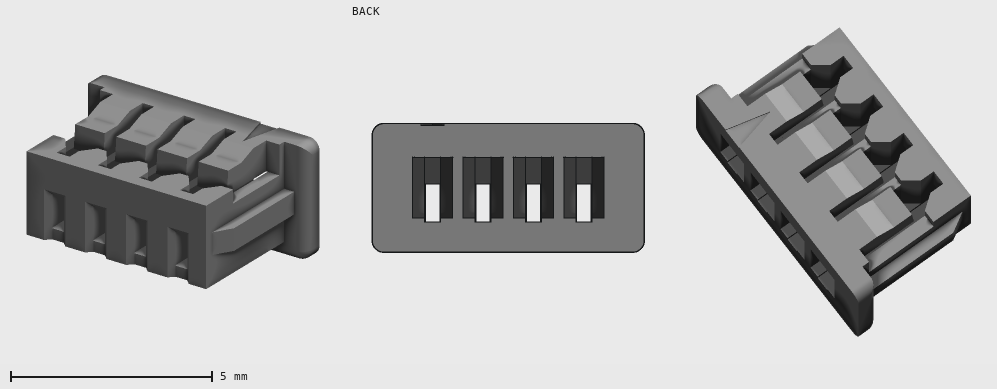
import cadquery as cq

TOTAL_WIDTH = 6.75
TOTAL_DEPTH = 3.95
TOTAL_HEIGHT = 3.2

CONTACT_COUNT = 4
PITCH = 1.25
ROW_MIDDLE = (CONTACT_COUNT - 1) / 2
CONTACT_X = [(i - ROW_MIDDLE) * PITCH for i in range(CONTACT_COUNT)]

FLANGE_THICKNESS = 0.6
FLANGE_FRONT_Y = TOTAL_DEPTH - FLANGE_THICKNESS
FLANGE_RADIUS = 0.3

BODY_WIDTH = 5.455
BODY_BOTTOM_Z = 0.45
FRONT_BLOCK_TOP_Z = 2.74
FRONT_BLOCK_DEPTH = 1.155
SHELF_Z = 2.355
BRIDGE_FRONT_Y = 3.145

ARM_WIDTH = 0.9
ARM_SLOPE_TOP_Y = 2.6
ARM_SLOPE_BOTTOM_Y = 2.08
ARM_TIP_Z = 3.005
ARM_TIP_TOP_Y = 1.52
ARM_TIP_BOTTOM_Y = 1.46

CAVITY_WIDTH = 0.99
SLOT_FLOOR_Z = 0.755
GROOVE_DEPTH = 0.1
CAVITY_FLOOR_Z = SLOT_FLOOR_Z + GROOVE_DEPTH
CAVITY_TAPER_Y = 0.76
SLOT_WIDTH = 0.4
SLOT_FRONT_Y = 0.365

WINDOW_WIDTH = 0.35
WINDOW_TOP_Z = 1.695
WINDOW_CHAMFER = 0.15

RAIL_REACH = 3.03
RAIL_BOTTOM_Z = 1.29
RAIL_TOP_Z = 1.91
RAIL_FRONT_Y = 0.255
RAIL_FULL_Y = 0.77

RAMP_FRONT_Y = 0.365
RAMP_PEAK_Y = 1.1
RAMP_REAR_Y = 1.445
RAMP_PEAK_Z = 0.195

MARK_WIDTH = 0.57
MARK_TIP_Y = 2.77
MARK_DEPTH = 0.05


def block(x_center, width, y_start, y_end, z_start, z_end):
    """Box centred on x_center, given by its Y and Z limits."""
    return (
        cq.Workplane("XY")
        .box(width, y_end - y_start, z_end - z_start, centered=(True, False, False))
        .translate((x_center, y_start, z_start))
    )


def side_profile(points, x_center, width):
    """Outline of (y, z) points extruded along X about x_center."""
    return (
        cq.Workplane("YZ", origin=(x_center, 0, 0))
        .polyline(points)
        .close()
        .extrude(width / 2, both=True)
    )


def plan_profile(points, z_start, z_end):
    """Outline of (x, y) points extruded upward."""
    return (
        cq.Workplane("XY", origin=(0, 0, z_start))
        .polyline(points)
        .close()
        .extrude(z_end - z_start)
    )


def make_flange():
    """Plate rounded at its corners and front edges; its top front edge stays sharp."""
    size = (0, TOTAL_WIDTH, FLANGE_FRONT_Y, TOTAL_DEPTH, 0, TOTAL_HEIGHT)
    rounded_front = (
        block(*size)
        .edges("|Y and <Z")
        .fillet(FLANGE_RADIUS)
        .faces("<Y")
        .edges("not >Z")
        .fillet(FLANGE_RADIUS)
    )
    rounded_top = block(*size).edges("|Y and >Z").fillet(FLANGE_RADIUS)
    return rounded_front.intersect(rounded_top)


def make_body():
    """Stepped body: front block, low shelf and the bridge that carries the arms."""
    outline = [
        (0, BODY_BOTTOM_Z),
        (TOTAL_DEPTH, BODY_BOTTOM_Z),
        (TOTAL_DEPTH, TOTAL_HEIGHT),
        (BRIDGE_FRONT_Y, TOTAL_HEIGHT),
        (BRIDGE_FRONT_Y, SHELF_Z),
        (FRONT_BLOCK_DEPTH, SHELF_Z),
        (FRONT_BLOCK_DEPTH, FRONT_BLOCK_TOP_Z),
        (0, FRONT_BLOCK_TOP_Z),
    ]
    return side_profile(outline, 0, BODY_WIDTH)


def make_rail(side):
    """Guide rail with a slanted lead-in; side is -1 or 1."""
    inner_x = side * BODY_WIDTH / 2
    outer_x = side * RAIL_REACH
    outline = [
        (0, RAIL_FRONT_Y),
        (inner_x, RAIL_FRONT_Y),
        (outer_x, RAIL_FULL_Y),
        (outer_x, TOTAL_DEPTH),
        (0, TOTAL_DEPTH),
    ]
    return plan_profile(outline, RAIL_BOTTOM_Z, RAIL_TOP_Z)


def make_ramp(x_center):
    """Triangular locking ramp under the body."""
    outline = [
        (RAMP_FRONT_Y, BODY_BOTTOM_Z),
        (RAMP_PEAK_Y, RAMP_PEAK_Z),
        (RAMP_REAR_Y, BODY_BOTTOM_Z),
    ]
    return side_profile(outline, x_center, ARM_WIDTH)


def make_cavity(x_center):
    """Contact cavity open to the rear, narrowing toward a slot in the front block."""
    wide = CAVITY_WIDTH / 2
    narrow = SLOT_WIDTH / 2
    funnel_outline = [
        (x_center - wide, BRIDGE_FRONT_Y),
        (x_center - wide, FRONT_BLOCK_DEPTH),
        (x_center - narrow, CAVITY_TAPER_Y),
        (x_center + narrow, CAVITY_TAPER_Y),
        (x_center + wide, FRONT_BLOCK_DEPTH),
        (x_center + wide, BRIDGE_FRONT_Y),
    ]
    funnel = plan_profile(funnel_outline, CAVITY_FLOOR_Z, FRONT_BLOCK_TOP_Z)
    rear = block(x_center, CAVITY_WIDTH, FRONT_BLOCK_DEPTH, TOTAL_DEPTH, CAVITY_FLOOR_Z, SHELF_Z)
    return funnel.union(rear)


def make_slot(x_center):
    """Narrow slot open at the top of the front block, with a groove along the cavity floor."""
    top_slot = block(
        x_center, SLOT_WIDTH, SLOT_FRONT_Y, FRONT_BLOCK_DEPTH, SLOT_FLOOR_Z, FRONT_BLOCK_TOP_Z
    )
    groove = block(x_center, SLOT_WIDTH, WINDOW_CHAMFER, TOTAL_DEPTH, SLOT_FLOOR_Z, WINDOW_TOP_Z)
    return top_slot.union(groove)


def make_window(x_center):
    """Mating window with chamfered sides and top; its mouth runs out of the underside."""
    mouth_width = WINDOW_WIDTH + 2 * WINDOW_CHAMFER
    mouth_height = WINDOW_TOP_Z + WINDOW_CHAMFER
    return (
        cq.Workplane("XZ")
        .center(x_center, mouth_height / 2)
        .rect(mouth_width, mouth_height)
        .workplane(offset=-WINDOW_CHAMFER)
        .center(0, -WINDOW_CHAMFER / 2)
        .rect(WINDOW_WIDTH, WINDOW_TOP_Z)
        .loft(ruled=True)
    )


def make_arm(x_center):
    """Latch arm reaching forward from the bridge over its cavity."""
    outline = [
        (TOTAL_DEPTH, SHELF_Z),
        (TOTAL_DEPTH, TOTAL_HEIGHT),
        (ARM_SLOPE_TOP_Y, TOTAL_HEIGHT),
        (ARM_SLOPE_BOTTOM_Y, ARM_TIP_Z),
        (ARM_TIP_TOP_Y, ARM_TIP_Z),
        (ARM_TIP_BOTTOM_Y, SHELF_Z),
    ]
    return side_profile(outline, x_center, ARM_WIDTH)


def make_mark(x_center):
    """Shallow triangle engraved in the top face, pointing forward."""
    outline = [
        (x_center - MARK_WIDTH / 2, TOTAL_DEPTH),
        (x_center, MARK_TIP_Y),
        (x_center + MARK_WIDTH / 2, TOTAL_DEPTH),
    ]
    return plan_profile(outline, TOTAL_HEIGHT - MARK_DEPTH, TOTAL_HEIGHT)


result = make_body().union(make_flange())

for side in (-1, 1):
    result = result.union(make_rail(side))

for x in CONTACT_X:
    result = result.cut(make_cavity(x)).cut(make_slot(x)).cut(make_window(x))

for x in CONTACT_X:
    result = result.union(make_arm(x))

for x in CONTACT_X[1:-1]:
    result = result.union(make_ramp(x))

result = result.cut(make_mark(CONTACT_X[-1]))